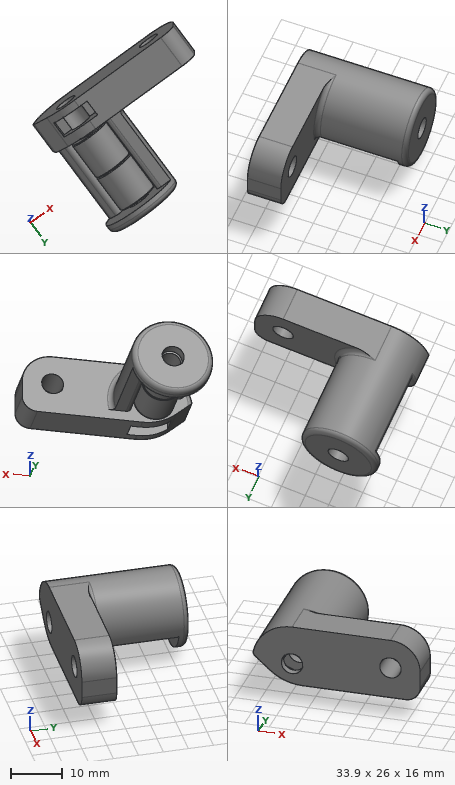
import cadquery as cq
import math

barrel_radius = 8.0
total_length = 26.0
end_disc_thickness = 2.0
round_radius = 1.02
cavity_radius = 4.5

arm_thickness = 7.0
overall_width = 33.9
arm_right = overall_width - barrel_radius
arm_top_corner_radius = 6.0
arm_bottom_corner_radius = 3.0
arm_underside_depth = 4.47
underside_bend_radius = 10.0
slope_angle = math.radians(41.3)
hole_diameter = 4.3

wall_underside_depth = 2.45

slot_width = 3.4
slot_front = 1.6
slot_half_length = 4.0
slot_top = 0.0

roller_radius = 4.0
roller_bore_diameter = 4.0
roller_length = 8.0
roller_count = 2
roller_chamfer = 0.2

cavity_back = total_length - end_disc_thickness
wall_length = cavity_back - arm_thickness
roller_clearance = (wall_length - roller_count * roller_length) / 2


def plane_at(y):
    """Work plane across the barrel axis at the given Y; negative extrusions run toward +Y."""
    return cq.Workplane("XZ", origin=(0, y, 0))


def cylinder(radius, y, length):
    return plane_at(y).circle(radius).extrude(-length)


def slope_start(depth):
    """Point where the sloping underside, `depth` from the axis, meets the barrel circle."""
    along = math.sqrt(barrel_radius**2 - depth**2)
    x = -depth * math.sin(slope_angle) - along * math.cos(slope_angle)
    z = -depth * math.cos(slope_angle) + along * math.sin(slope_angle)
    return x, z


def slope_corner(depth):
    """Point where the sloping underside meets the level underside."""
    return -depth * math.tan(slope_angle / 2), -depth


def make_barrel():
    barrel = cylinder(barrel_radius, 0, total_length)
    return barrel.faces(">Y").edges().fillet(round_radius)


def make_arm():
    """Part of the arm beside the barrel axis; its left part is the barrel itself."""
    outline = (
        plane_at(0)
        .moveTo(0, barrel_radius)
        .lineTo(arm_right - arm_top_corner_radius, barrel_radius)
        .radiusArc((arm_right, barrel_radius - arm_top_corner_radius), arm_top_corner_radius)
        .lineTo(arm_right, arm_bottom_corner_radius - arm_underside_depth)
        .radiusArc((arm_right - arm_bottom_corner_radius, -arm_underside_depth), arm_bottom_corner_radius)
        .lineTo(0, -arm_underside_depth)
        .close()
    )
    return outline.extrude(-arm_thickness)


def make_underside_void(y, length, depth):
    """Space below the sloping and level underside that lies `depth` from the axis."""
    reach = 2 * barrel_radius
    corner_x, corner_z = slope_corner(depth)
    outline = (
        plane_at(y)
        .moveTo(corner_x, corner_z)
        .lineTo(reach, corner_z)
        .lineTo(reach, -reach)
        .lineTo(-reach, -reach)
        .lineTo(-reach, corner_z + (reach + corner_x) * math.tan(slope_angle))
        .close()
    )
    return outline.extrude(-length)


def make_arm_void():
    void = make_underside_void(0, arm_thickness, arm_underside_depth)
    corner_x, corner_z = slope_corner(arm_underside_depth)
    bend = cq.selectors.NearestToPointSelector((corner_x, arm_thickness / 2, corner_z))
    return void.edges("|Y").edges(bend).fillet(underside_bend_radius)


def make_wall_void():
    """Mouth and roller cavity as one cutter; rounding its inner corners rounds the wall's lips."""
    void = make_underside_void(arm_thickness, wall_length, wall_underside_depth)
    void = void.union(cylinder(cavity_radius, arm_thickness, wall_length))
    margin = 0.35
    lip_finder = cq.selectors.BoxSelector(
        (-cavity_radius - margin, arm_thickness, -cavity_radius),
        (cavity_radius + margin, cavity_back, cavity_radius),
    )
    return void.edges("|Y").edges(lip_finder).fillet(round_radius)


def make_cove():
    """Concave round where the barrel wall meets the inner face of the arm."""
    outer = barrel_radius + round_radius
    profile = (
        cq.Workplane("XY")
        .moveTo(barrel_radius - round_radius, arm_thickness)
        .lineTo(outer, arm_thickness)
        .radiusArc((barrel_radius, arm_thickness + round_radius), round_radius)
        .lineTo(barrel_radius - round_radius, arm_thickness + round_radius)
        .close()
    )
    ring = profile.revolve(360, (0, 0, 0), (0, 1, 0))
    height = barrel_radius + wall_underside_depth
    clip = cq.Workplane("XY").box(outer, round_radius, height, centered=False)
    return ring.intersect(clip.translate((0, arm_thickness, -wall_underside_depth)))


def make_slot():
    height = slot_top + arm_underside_depth
    slot = cq.Workplane("XY").box(2 * slot_half_length, slot_width, height, centered=False)
    return slot.translate((-slot_half_length, slot_front, -arm_underside_depth))


def round_step(body):
    """Round the outer barrel edge along the wall lip, the step to the arm and the arm's slope."""
    wall_x, wall_z = slope_start(wall_underside_depth)
    arm_x, arm_z = slope_start(arm_underside_depth)
    margin = 0.17
    finder = cq.selectors.BoxSelector(
        (arm_x - margin, margin, arm_z - margin),
        (wall_x + margin, cavity_back - margin, wall_z + margin),
    )
    return body.edges(finder).fillet(round_radius)


def make_housing():
    body = make_barrel().union(make_arm())
    body = body.cut(make_arm_void()).cut(make_wall_void())
    body = round_step(body)
    body = body.union(make_cove())
    body = body.cut(make_slot())
    pivot_hole = cylinder(hole_diameter / 2, 0, total_length)
    hole_x = arm_right - arm_top_corner_radius
    hole_z = barrel_radius - arm_top_corner_radius
    mounting_hole = pivot_hole.translate((hole_x, 0, hole_z))
    return body.cut(pivot_hole).cut(mounting_hole)


def make_roller(y):
    roller = cylinder(roller_radius, y, roller_length).edges().chamfer(roller_chamfer)
    return roller.cut(cylinder(roller_bore_diameter / 2, y, roller_length))


housing = make_housing()
first_roller_y = arm_thickness + roller_clearance
rollers = [make_roller(first_roller_y + i * roller_length) for i in range(roller_count)]

result = cq.Compound.makeCompound([housing.val(), *[roller.val() for roller in rollers]])